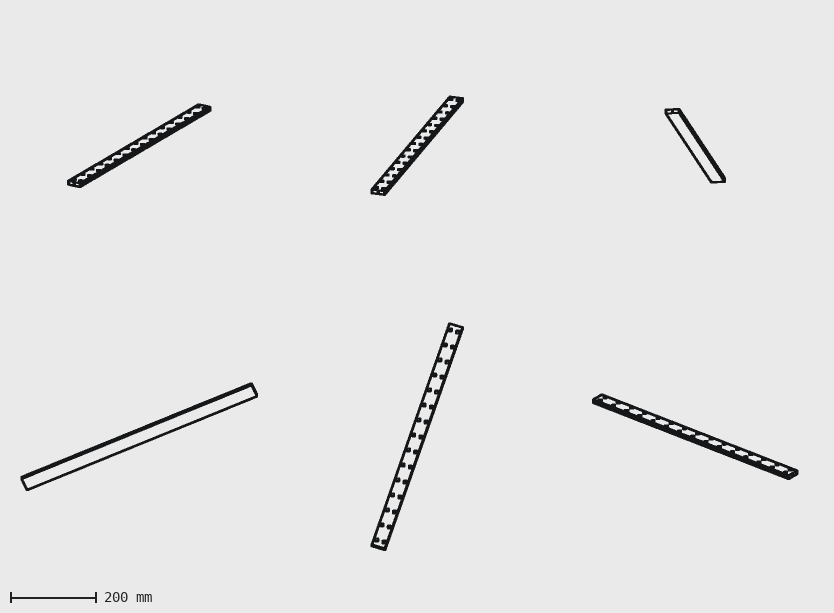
import cadquery as cq

length = 590.0
width = 33.0
height = 9.5

edge_chamfer = 0.95

groove_depth = 2.0
groove_height = 4.95
groove_floor_height = 2.25

recess_diameter = 7.5
recess_depth = 0.3
recess_pairs = 15
recess_side_gap = 3.65
recess_end_gap = 11.0
row_spacing = width - 2 * recess_side_gap - recess_diameter
pitch = (length - 2 * recess_end_gap - recess_diameter) / (recess_pairs - 1)

end_hole_diameter = 3.0
end_hole_depth = 9.0


def rail_body():
    """Rectangular bar, centred in X and Y, standing on Z = 0, with chamfered long edges."""
    bar = cq.Workplane("XY").box(width, length, height, centered=(True, True, False))
    return bar.edges("|Y").chamfer(edge_chamfer)


def side_groove(side):
    """Flat-bottomed groove with sloping flanks along one long side; side is -1 or +1."""
    mouth_x = side * width / 2
    floor_x = mouth_x - side * groove_depth
    middle_z = height / 2
    profile = [
        (mouth_x, middle_z - groove_height / 2),
        (floor_x, middle_z - groove_floor_height / 2),
        (floor_x, middle_z + groove_floor_height / 2),
        (mouth_x, middle_z + groove_height / 2),
    ]
    return cq.Workplane("XZ").polyline(profile).close().extrude(length / 2, both=True)


def top_recesses():
    """Round recesses sunk into the top face."""
    return (
        cq.Workplane("XY", origin=(0, 0, height))
        .rarray(row_spacing, pitch, 2, recess_pairs)
        .circle(recess_diameter / 2)
        .extrude(-recess_depth)
    )


def end_hole(end):
    """Blind hole running inward from one end face; end is -1 or +1."""
    return (
        cq.Workplane("XZ", origin=(0, end * length / 2, height / 2))
        .circle(end_hole_diameter / 2)
        .extrude(end * end_hole_depth)
    )


result = rail_body().cut(top_recesses())
for direction in (-1, 1):
    result = result.cut(side_groove(direction)).cut(end_hole(direction))